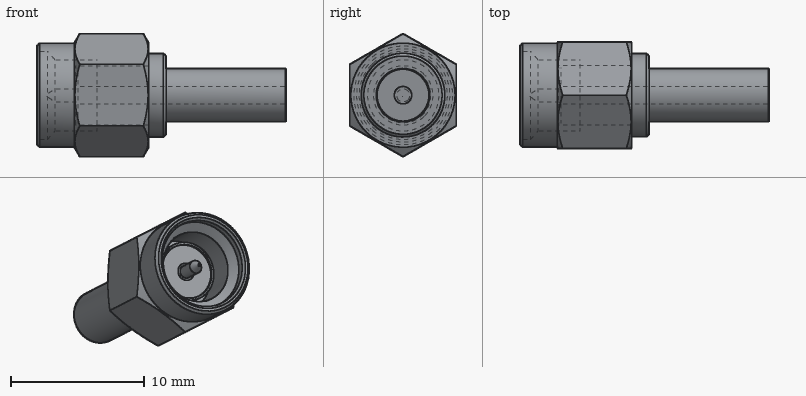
import cadquery as cq
import math

total_length = 18.7
sleeve_chamfer = 0.2
hex_start = 2.8
hex_end = 8.4
hex_bevel_length = 0.41
collar_end = 9.7
collar_chamfer = 0.2
tube_chamfer = 0.05

hex_sides = 6
hex_flats = 8.0
hex_corner_radius = hex_flats / 2 / math.cos(math.pi / hex_sides)
sleeve_radius = 3.9
collar_radius = 3.15
tube_radius = 2.0

mouth_chamfer = 0.19
socket_radius = 3.31
taper_start = 0.79
taper_end = 1.35
bore_radius = 2.67
bore_end = 4.49

spigot_radius = 2.23
spigot_front = 2.88
recess_radius = 2.05
recess_depth = 0.19
recess_floor = spigot_front + recess_depth

pin_tip = 0.73
pin_tip_radius = 0.1
pin_cone_length = 0.62
pin_radius = 0.49
pin_shank_radius = 0.65


def revolve_about_x(profile):
    """Turn a closed outline of (x, radius) points around the X axis."""
    return cq.Workplane("XY").polyline(profile).close().revolve(360, (0, 0, 0), (1, 0, 0))


def make_nut():
    """Round sleeve and bevelled hexagon, with a stepped socket through both."""
    sleeve = revolve_about_x([
        (0, 0),
        (0, sleeve_radius - sleeve_chamfer),
        (sleeve_chamfer, sleeve_radius),
        (hex_start, sleeve_radius),
        (hex_start, 0),
    ])
    hexagon = (
        cq.Workplane("YZ")
        .workplane(offset=hex_start)
        .polygon(hex_sides, 2 * hex_corner_radius)
        .extrude(hex_end - hex_start)
        .rotate((0, 0, 0), (1, 0, 0), 180 / hex_sides)
    )
    bevel = revolve_about_x([
        (hex_start, 0),
        (hex_start, sleeve_radius),
        (hex_start + hex_bevel_length, hex_corner_radius),
        (hex_end - hex_bevel_length, hex_corner_radius),
        (hex_end, sleeve_radius),
        (hex_end, 0),
    ])
    socket = revolve_about_x([
        (0, 0),
        (0, socket_radius + mouth_chamfer),
        (mouth_chamfer, socket_radius),
        (taper_start, socket_radius),
        (taper_end, bore_radius),
        (bore_end, bore_radius),
        (bore_end, spigot_radius),
        (hex_end, spigot_radius),
        (hex_end, 0),
    ])
    return sleeve.union(hexagon.intersect(bevel)).cut(socket)


def make_ferrule():
    """Spigot with a shallow front recess, then the collar and the tube, bored for the pin."""
    return revolve_about_x([
        (recess_floor, pin_shank_radius),
        (recess_floor, recess_radius),
        (spigot_front, recess_radius),
        (spigot_front, spigot_radius),
        (hex_end, spigot_radius),
        (hex_end, collar_radius),
        (collar_end - collar_chamfer, collar_radius),
        (collar_end, collar_radius - collar_chamfer),
        (collar_end, tube_radius),
        (total_length - tube_chamfer, tube_radius),
        (total_length, tube_radius - tube_chamfer),
        (total_length, pin_shank_radius),
    ])


def make_pin():
    """Pointed contact on a wider shank that fills the bore of the ferrule."""
    return revolve_about_x([
        (pin_tip, 0),
        (pin_tip, pin_tip_radius),
        (pin_tip + pin_cone_length, pin_radius),
        (recess_floor, pin_radius),
        (recess_floor, pin_shank_radius),
        (total_length, pin_shank_radius),
        (total_length, 0),
    ])


nut = make_nut()
ferrule = make_ferrule()
pin = make_pin()

result = cq.Compound.makeCompound([nut.val(), ferrule.val(), pin.val()])